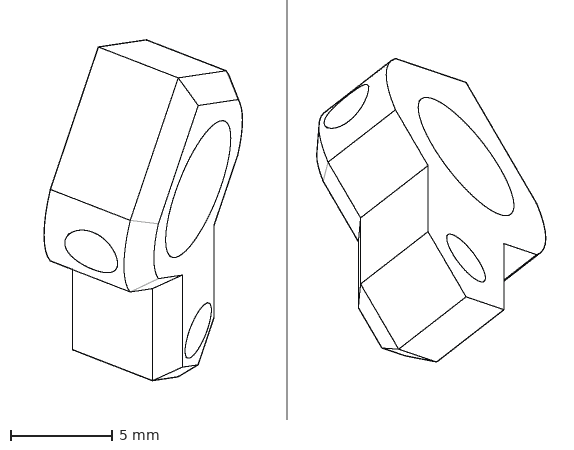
import cadquery as cq
import math

thickness = 5.5
total_height = 23.45
ring_radius = 6.0
peak_height = 8.11
arm_half_width = 2.85
chamfer_size = 1.1
bore_diameter = 7.2
pin_diameter = 2.9
arm_hole_height = 4.25
cross_hole_x = 2.6

tip_z = peak_height - total_height
arm_hole_z = tip_z + arm_hole_height

half_difference = math.sqrt(2 * ring_radius**2 - peak_height**2) / 2
flat_y = peak_height / 2 + half_difference
flat_z = peak_height / 2 - half_difference

neck_z = arm_half_width - peak_height
arm_end_z = tip_z + arm_half_width


def make_body():
    """Pointed ring and arm, with the outline chamfered on the +X face."""
    body = (
        cq.Workplane("YZ")
        .moveTo(0, peak_height)
        .lineTo(flat_y, flat_z)
        .threePointArc((ring_radius, 0), (flat_y, -flat_z))
        .lineTo(arm_half_width, neck_z)
        .lineTo(arm_half_width, arm_end_z)
        .lineTo(0, tip_z)
        .lineTo(-arm_half_width, arm_end_z)
        .lineTo(-arm_half_width, neck_z)
        .lineTo(-flat_y, -flat_z)
        .threePointArc((-ring_radius, 0), (-flat_y, flat_z))
        .close()
        .extrude(thickness)
    )
    return body.faces(">X").edges().chamfer(chamfer_size)


def axial_hole(diameter, z):
    """Cutter along X through the full thickness."""
    return cq.Workplane("YZ").center(0, z).circle(diameter / 2).extrude(thickness)


def cross_hole():
    """Cutter along Y through both sides of the ring."""
    return (
        cq.Workplane("XZ")
        .center(cross_hole_x, 0)
        .circle(pin_diameter / 2)
        .extrude(ring_radius, both=True)
    )


result = (
    make_body()
    .cut(axial_hole(bore_diameter, 0))
    .cut(axial_hole(pin_diameter, arm_hole_z))
    .cut(cross_hole())
)